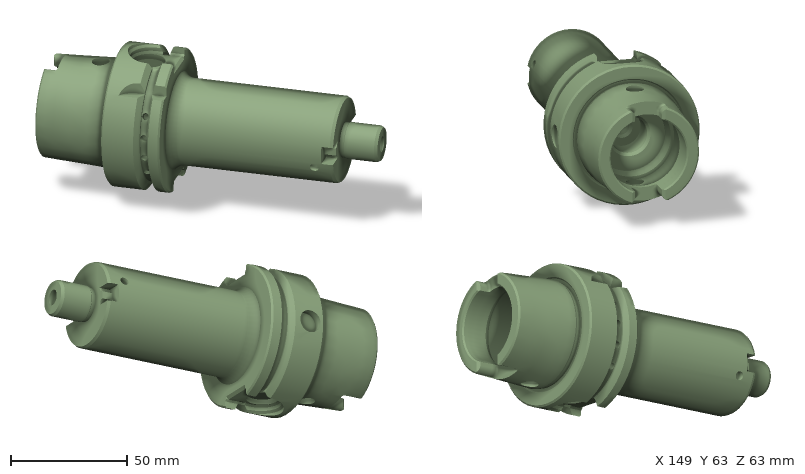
import cadquery as cq
import math


taper_length = 32.0
taper_end_radius = 22.5
taper_base_radius = 24.0
taper_edge_break = 0.7
relief_length = 2.2
relief_cone_length = 0.7
relief_floor_length = 0.9
relief_radius = 23.7
neck_radius = 23.4
face_recess_radius = 25.3
face_recess_depth = 0.6

flange_radius = 31.48
flange_length = 26.1
flange_edge_break = 0.7
groove_radius = 27.49
groove_start = 14.5
groove_end = 21.2
groove_floor_start = 16.5
groove_floor_end = 19.8
groove_wall_radius = 28.6

shank_radius = 19.0
shank_end = 100.1
shank_chamfer_length = 1.3
shank_chamfer_depth = 0.6
shank_fillet = 6.0
shank_fillet_rise = 2.4
pilot_radius = 8.0
pilot_end = 149 - taper_length
pilot_chamfer_length = 1.3
pilot_chamfer_depth = 0.7
undercut_length = 2.1
undercut_depth = 0.3

bore_radius = 17.0
bore_mouth_chamfer = 0.6
lip_depth = 12.4
clamp_groove_radius = 18.5
lip_slope_angle = 30
clamp_groove_depth = 26.8
inner_bore_radius = 15.8
inner_bore_cone_length = 4.5
inner_bore_depth = 32.0
thread_radius = 8.2
thread_chamfer = 1.2
thread_depth = 11.9
coolant_radius = 3.5
coolant_chamfer = 1.2

drive_half_width = 6.0
drive_depth_top = 6.0
drive_depth_bottom = 10.1
drive_floor_fillet = 1.0
drive_flare_radius = 3.0
drive_flare_start = 17.7
drive_entry_length = 0.9
drive_entry_widening = 1.3

cross_hole_radius = 3.9
cross_hole_x = -9.0

keyway_x = 13.4
keyway_floor = 26.5
keyway_half_width = 8.87
keyway_floor_chamfer = 0.82
keyway_edge_widening = 0.97
keyway_edge_start = 28.9
keyway_exit_chamfer = 1.2
pocket_x = 12.7
pocket_radius = 7.08
pocket_depth = 2.4

notch_offset = 19.8
notch_corner_radius = 8.0
notch_start = 5.2
groove_hole_radius = 1.5
groove_hole_depth = 3.0
groove_hole_angles = (25, 5, -15, -35)
chip_hole_radius = 5.0
chip_hole_depth = 4.6
chip_hole_x = 7.0

driver_half_width = 4.0
driver_length = 5.0
driver_floor = 11.2
driver_ridge_half_width = 1.6
screw_hole_radius = 2.0
screw_hole_depth = 3.7
screw_hole_x = 91.6
screw_hole_angle = -20


def revolved(points):
    """Turn a closed (x, radius) outline about the X axis."""
    return cq.Workplane("XY").polyline(points).close().revolve(360, (0, 0, 0), (1, 0, 0))


def radial_hole(x, angle, outer_radius, radius, depth):
    """Drill-shaped cutter pointing to the axis; angle is measured from -Y toward +Z."""
    direction = cq.Vector(0, -math.cos(math.radians(angle)), math.sin(math.radians(angle)))
    floor = outer_radius - depth
    start = cq.Vector(x, 0, 0) + direction * floor
    bore = cq.Solid.makeCylinder(radius, depth + 1.5, start, direction)
    tip = cq.Solid.makeCone(radius, 0, radius / 2, start, direction * -1)
    return cq.Workplane(bore).union(cq.Workplane(tip))


def outer_body():
    fillet_end = flange_length + math.sqrt(shank_fillet**2 - (shank_fillet - shank_fillet_rise) ** 2)
    half_sweep = math.acos(1 - shank_fillet_rise / shank_fillet) / 2
    fillet_mid = (
        fillet_end - shank_fillet * math.sin(half_sweep),
        shank_radius + shank_fillet * (1 - math.cos(half_sweep)),
    )
    undercut_radius = pilot_radius - undercut_depth
    undercut_end = shank_end + undercut_length
    return (
        cq.Workplane("XY")
        .moveTo(-taper_length, 0)
        .lineTo(-taper_length, taper_end_radius - taper_edge_break)
        .lineTo(-taper_length + taper_edge_break, taper_end_radius)
        .lineTo(-relief_length, taper_base_radius)
        .lineTo(-relief_length + relief_cone_length, relief_radius)
        .lineTo(-relief_length + relief_cone_length + relief_floor_length, relief_radius)
        .lineTo(face_recess_depth, neck_radius)
        .lineTo(face_recess_depth, face_recess_radius - face_recess_depth)
        .lineTo(0, face_recess_radius)
        .lineTo(0, flange_radius - flange_edge_break)
        .lineTo(flange_edge_break, flange_radius)
        .lineTo(groove_start, flange_radius)
        .lineTo(groove_floor_start, groove_wall_radius)
        .lineTo(groove_floor_start, groove_radius)
        .lineTo(groove_floor_end, groove_radius)
        .lineTo(groove_floor_end, groove_wall_radius)
        .lineTo(groove_end, flange_radius)
        .lineTo(flange_length - flange_edge_break, flange_radius)
        .lineTo(flange_length, flange_radius - flange_edge_break)
        .lineTo(flange_length, shank_radius + shank_fillet_rise)
        .threePointArc(fillet_mid, (fillet_end, shank_radius))
        .lineTo(shank_end - shank_chamfer_length, shank_radius)
        .lineTo(shank_end, shank_radius - shank_chamfer_depth)
        .lineTo(shank_end, undercut_radius)
        .lineTo(undercut_end - undercut_depth, undercut_radius)
        .lineTo(undercut_end, pilot_radius)
        .lineTo(pilot_end - pilot_chamfer_length, pilot_radius)
        .lineTo(pilot_end, pilot_radius - pilot_chamfer_depth)
        .lineTo(pilot_end, 0)
        .close()
        .revolve(360, (0, 0, 0), (1, 0, 0))
    )


def stepped_bore():
    lip_end = lip_depth - taper_length
    lip_slope_length = (clamp_groove_radius - bore_radius) / math.tan(math.radians(lip_slope_angle))
    groove_wall = clamp_groove_depth - taper_length
    bore_floor = inner_bore_depth - taper_length
    thread_floor = bore_floor + thread_depth
    return revolved([
        (-taper_length, 0),
        (-taper_length, bore_radius + bore_mouth_chamfer),
        (-taper_length + bore_mouth_chamfer, bore_radius),
        (lip_end, bore_radius),
        (lip_end + lip_slope_length, clamp_groove_radius),
        (groove_wall, clamp_groove_radius),
        (groove_wall, bore_radius),
        (groove_wall + inner_bore_cone_length, inner_bore_radius),
        (bore_floor, inner_bore_radius),
        (bore_floor, thread_radius + thread_chamfer),
        (bore_floor + thread_chamfer, thread_radius),
        (thread_floor, thread_radius),
        (thread_floor, coolant_radius + coolant_chamfer),
        (thread_floor + coolant_chamfer, coolant_radius),
        (pilot_end, coolant_radius),
        (pilot_end, 0),
    ])


def drive_slot(depth):
    """Slot in the +Z wall of the taper; its walls round outward near the outside and at the mouth."""
    root = bore_radius / 2
    flare_top = drive_flare_start + drive_flare_radius
    flare_half_width = drive_half_width + drive_flare_radius
    arc_y = flare_half_width - drive_flare_radius * math.sqrt(0.5)
    arc_z = drive_flare_start + drive_flare_radius * math.sqrt(0.5)
    slot = (
        cq.Workplane("YZ")
        .workplane(offset=-taper_length)
        .moveTo(-drive_half_width, root)
        .lineTo(-drive_half_width, drive_flare_start)
        .threePointArc((-arc_y, arc_z), (-flare_half_width, flare_top))
        .lineTo(-flare_half_width, taper_base_radius)
        .lineTo(flare_half_width, taper_base_radius)
        .lineTo(flare_half_width, flare_top)
        .threePointArc((arc_y, arc_z), (drive_half_width, drive_flare_start))
        .lineTo(drive_half_width, root)
        .close()
        .extrude(depth)
        .faces(">X")
        .edges("not |Y")
        .fillet(drive_floor_fillet)
    )
    entry_half_width = drive_half_width + drive_entry_widening
    entry = (
        cq.Workplane("XY")
        .workplane(offset=root)
        .moveTo(-taper_length, -entry_half_width)
        .lineTo(-taper_length + drive_entry_length, -drive_half_width)
        .lineTo(-taper_length + drive_entry_length, drive_half_width)
        .lineTo(-taper_length, entry_half_width)
        .close()
        .extrude(taper_base_radius - root)
    )
    return slot.union(entry)


def keyway():
    """Round-ended keyway on +Z, open toward the shank, with a blind pocket in its floor."""
    floor_half_width = keyway_half_width - keyway_floor_chamfer
    wall_start = keyway_floor + keyway_floor_chamfer
    edge_radius = keyway_half_width + keyway_edge_widening
    round_end = (
        cq.Workplane("XZ", origin=(keyway_x, 0, 0))
        .moveTo(0, keyway_floor)
        .lineTo(floor_half_width, keyway_floor)
        .lineTo(keyway_half_width, wall_start)
        .lineTo(keyway_half_width, keyway_edge_start)
        .lineTo(edge_radius, keyway_edge_start + keyway_edge_widening)
        .lineTo(edge_radius, flange_radius)
        .lineTo(0, flange_radius)
        .close()
        .revolve(360, (0, 0, 0), (0, 1, 0))
    )
    channel = (
        cq.Workplane("YZ")
        .workplane(offset=keyway_x)
        .moveTo(-floor_half_width, keyway_floor)
        .lineTo(floor_half_width, keyway_floor)
        .lineTo(keyway_half_width, wall_start)
        .lineTo(keyway_half_width, flange_radius)
        .lineTo(-keyway_half_width, flange_radius)
        .lineTo(-keyway_half_width, wall_start)
        .close()
        .extrude(flange_length - keyway_x)
    )
    exit_chamfer = (
        cq.Workplane("XZ")
        .moveTo(flange_length - keyway_exit_chamfer, keyway_floor)
        .lineTo(flange_length, keyway_floor)
        .lineTo(flange_length, keyway_floor - keyway_exit_chamfer)
        .close()
        .extrude(floor_half_width, both=True)
    )
    pocket = (
        cq.Workplane("XY", origin=(pocket_x, 0, keyway_floor))
        .circle(pocket_radius)
        .extrude(-pocket_depth)
    )
    return round_end.union(channel).union(exit_chamfer).union(pocket)


def orientation_notch():
    """Square-cornered notch on the -Y/+Z quarter with one rounded end, open toward the shank."""
    size = flange_radius - notch_offset
    length = flange_length - notch_start
    return (
        cq.Workplane("XY")
        .box(length, size, size, centered=False)
        .translate((notch_start, -flange_radius, notch_offset))
        .edges("|Z and <X and >Y")
        .fillet(notch_corner_radius)
    )


def driver_notch():
    """Notch on the -Y side of the shank end; its floor rises in two hollow arcs to a flat ridge."""
    arc_radius = driver_half_width - driver_ridge_half_width
    ridge_top = driver_floor + arc_radius
    arc_y = ridge_top - arc_radius * math.sqrt(0.5)
    arc_z = driver_half_width - arc_radius * math.sqrt(0.5)
    return (
        cq.Workplane("YZ")
        .workplane(offset=shank_end - driver_length)
        .moveTo(-shank_radius, -driver_half_width)
        .lineTo(-driver_floor, -driver_half_width)
        .threePointArc((-arc_y, -arc_z), (-ridge_top, -driver_ridge_half_width))
        .lineTo(-ridge_top, driver_ridge_half_width)
        .threePointArc((-arc_y, arc_z), (-driver_floor, driver_half_width))
        .lineTo(-shank_radius, driver_half_width)
        .close()
        .extrude(driver_length)
    )


def half_turn(shape):
    return shape.rotate((0, 0, 0), (1, 0, 0), 180)


body = outer_body().cut(stepped_bore())

body = body.cut(drive_slot(drive_depth_top))
body = body.cut(half_turn(drive_slot(drive_depth_bottom)))

cross_hole = (
    cq.Workplane("XY")
    .center(cross_hole_x, 0)
    .circle(cross_hole_radius)
    .extrude(taper_base_radius + 1.5, both=True)
)
body = body.cut(cross_hole)

body = body.cut(orientation_notch())
groove_middle = (groove_floor_start + groove_floor_end) / 2
for angle in groove_hole_angles:
    body = body.cut(radial_hole(groove_middle, angle, groove_radius,
                                groove_hole_radius, groove_hole_depth))

chip_hole = (
    cq.Workplane("XZ", origin=(chip_hole_x, flange_radius, 0))
    .circle(chip_hole_radius)
    .extrude(chip_hole_depth)
)
body = body.cut(chip_hole)

screw_hole = radial_hole(screw_hole_x, screw_hole_angle, shank_radius, screw_hole_radius, screw_hole_depth)
for feature in (keyway(), driver_notch(), screw_hole):
    body = body.cut(feature).cut(half_turn(feature))

result = body